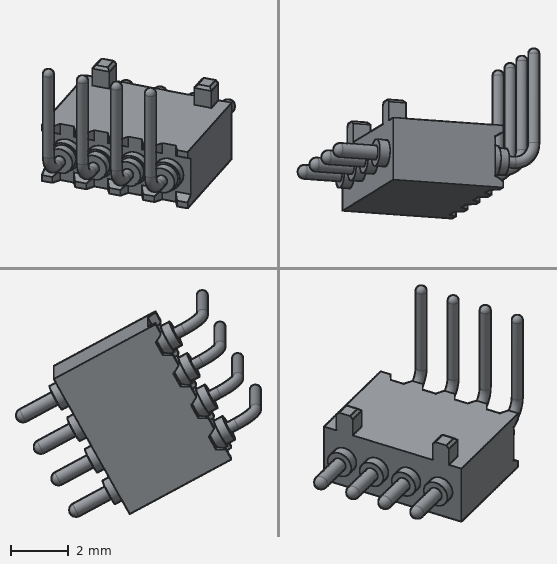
import cadquery as cq
import math


PIN_COUNT = 4
PITCH = 1.27
PIN_XS = [(i - (PIN_COUNT - 1) / 2) * PITCH for i in range(PIN_COUNT)]

HOUSING_WIDTH = 5.46
HOUSING_HEIGHT = 2.2
HOUSING_LENGTH = 4.02
RECESS_DEPTH = 0.3
FLOOR_Y = RECESS_DEPTH - HOUSING_LENGTH
RECESS_FLARE_ANGLE = 30
RECESS_TAPER = RECESS_DEPTH * math.tan(math.radians(RECESS_FLARE_ANGLE))
CHANNEL_FLOOR_HEIGHT = 1.39
NOTCH_FLOOR_WIDTH = 0.505

PEG_WIDTH = 0.65
PEG_DEPTH = 0.64
PEG_HEIGHT = 0.77
PEG_CHAMFER = 0.105

OVERALL_LENGTH = 7.53
OVERALL_HEIGHT = 5.19
TIP_RADIUS = 0.25
TIP_LENGTH = 1.54
BARREL_RADIUS = 0.47
BARREL_REAR_LENGTH = 0.37
BARREL_FRONT_LENGTH = 0.65
COLLAR_RADIUS = 0.54
COLLAR_LENGTH = 0.32
WIRE_DIAMETER = 0.4
WIRE_RADIUS = WIRE_DIAMETER / 2
BEND_RADIUS = 0.73

BARREL_REAR_Y = BARREL_REAR_LENGTH
BARREL_FRONT_Y = FLOOR_Y - BARREL_FRONT_LENGTH
TIP_END_Y = BARREL_REAR_Y + TIP_LENGTH
TAIL_Y = TIP_END_Y - OVERALL_LENGTH + WIRE_RADIUS
TAIL_DOME_Z = OVERALL_HEIGHT - HOUSING_HEIGHT / 2 - WIRE_RADIUS


def flared_outline(plane, floor_width):
    """Trapezoid across the recess: floor_width at the floor, flaring out to the front face."""
    floor_half = floor_width / 2
    mouth_half = floor_half + RECESS_TAPER
    return cq.Workplane(plane).polyline([
        (FLOOR_Y, -floor_half),
        (FLOOR_Y, floor_half),
        (-HOUSING_LENGTH, mouth_half),
        (-HOUSING_LENGTH, -mouth_half),
    ]).close()


def make_channel():
    """Flared channel running along the whole row of pins."""
    return flared_outline("YZ", CHANNEL_FLOOR_HEIGHT).extrude(HOUSING_WIDTH / 2, both=True)


def make_notch(x):
    """Flared notch through the lips above and below one pin."""
    plan_plane = cq.Plane(origin=(x, 0, 0), xDir=(0, 1, 0), normal=(0, 0, -1))
    return flared_outline(plan_plane, NOTCH_FLOOR_WIDTH).extrude(HOUSING_HEIGHT / 2, both=True)


def make_peg(x):
    """Peg flush with the rear face, chamfered on top along its front and sides."""
    return (
        cq.Workplane("XY", origin=(x, -PEG_DEPTH / 2, HOUSING_HEIGHT / 2))
        .box(PEG_WIDTH, PEG_DEPTH, PEG_HEIGHT, centered=(True, True, False))
        .faces(">Z").edges("<X or >X or <Y")
        .chamfer(PEG_CHAMFER)
    )


def make_barrel_hole(x):
    """Through hole that holds the barrel of one pin."""
    return (
        cq.Workplane("XZ", origin=(x, 0, 0))
        .circle(BARREL_RADIUS)
        .extrude(HOUSING_LENGTH)
    )


def make_housing():
    housing = (
        cq.Workplane("XY", origin=(0, -HOUSING_LENGTH / 2, 0))
        .box(HOUSING_WIDTH, HOUSING_LENGTH, HOUSING_HEIGHT)
        .cut(make_channel())
    )
    for x in PIN_XS:
        housing = housing.cut(make_notch(x)).cut(make_barrel_hole(x))
    for x in (PIN_XS[0], PIN_XS[-1]):
        housing = housing.union(make_peg(x))
    return housing.solids()


def make_turned_part():
    """Turned part of a pin: barrel, collar against the recess floor and domed tip."""
    dome_start_y = TIP_END_Y - TIP_RADIUS
    dome_mid_offset = TIP_RADIUS / math.sqrt(2)
    dome_mid = (dome_mid_offset, dome_start_y + dome_mid_offset)
    return (
        cq.Workplane("XY")
        .moveTo(0, BARREL_FRONT_Y)
        .lineTo(BARREL_RADIUS, BARREL_FRONT_Y)
        .lineTo(BARREL_RADIUS, FLOOR_Y - COLLAR_LENGTH)
        .lineTo(COLLAR_RADIUS, FLOOR_Y - COLLAR_LENGTH)
        .lineTo(COLLAR_RADIUS, FLOOR_Y)
        .lineTo(BARREL_RADIUS, FLOOR_Y)
        .lineTo(BARREL_RADIUS, BARREL_REAR_Y)
        .lineTo(TIP_RADIUS, BARREL_REAR_Y)
        .lineTo(TIP_RADIUS, dome_start_y)
        .threePointArc(dome_mid, (0, TIP_END_Y))
        .close()
        .revolve(360, (0, 0, 0), (0, 1, 0))
    )


def make_tail():
    """Round wire leaving the barrel, bent upward and ending in a dome."""
    path = (
        cq.Workplane("YZ")
        .moveTo(BARREL_FRONT_Y, 0)
        .lineTo(TAIL_Y + BEND_RADIUS, 0)
        .tangentArcPoint((TAIL_Y, BEND_RADIUS), relative=False)
        .lineTo(TAIL_Y, TAIL_DOME_Z)
    )
    wire = cq.Workplane("XZ", origin=(0, BARREL_FRONT_Y, 0)).circle(WIRE_RADIUS).sweep(path)
    dome = cq.Workplane("XY", origin=(0, TAIL_Y, TAIL_DOME_Z)).sphere(WIRE_RADIUS)
    return wire.union(dome)


def make_pin(x):
    pin = make_turned_part().union(make_tail())
    return pin.translate((x, 0, 0)).solids()


housing = make_housing()
pins = [make_pin(x) for x in PIN_XS]

result = cq.Compound.makeCompound([housing.val(), *[pin.val() for pin in pins]])